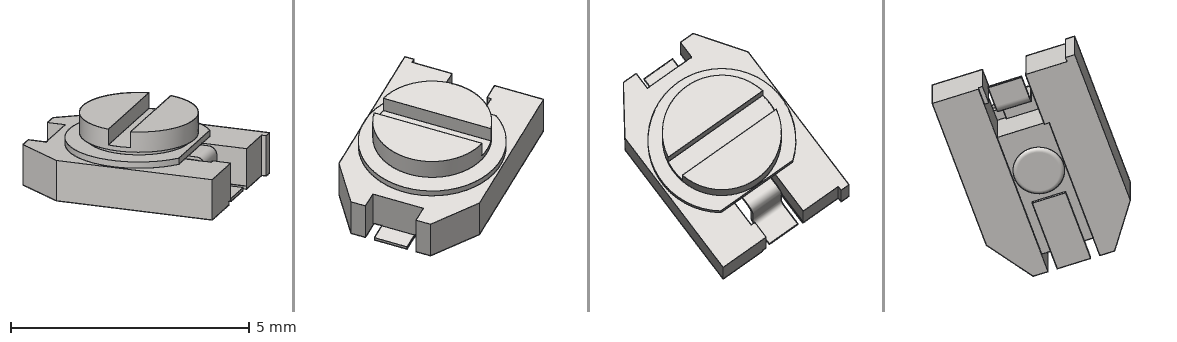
import cadquery as cq
import math


length = 4.6
width = 3.2
left_x = -2.265
tab_end_x = left_x + length
right_x = 2.235
housing_height = 0.9
corner_x = -1.255
left_end_half_width = 0.905
tab_width = 0.205
notch_end_x = -1.865
notch_half_width = 0.575
slot_start_x = 1.01
slot_half_width = 0.485
lip_x = 1.83
foot_ledge = 0.015

strip_thickness = 0.07
strip_width = 0.745
left_terminal_end_x = -0.645
right_terminal_end_x = 2.2
upper_bend_x = 1.425
riser_x = 1.61
lower_bend_x = 1.725

rivet_radius = 0.545
rivet_fillet = 0.09
washer_radius = 1.555
washer_flat_x = 1.24
washer_thickness = 0.14
neck_radius = 1.105
neck_height = 0.11
head_radius = 1.25
total_height = 1.6
driver_slot_width = 0.49
driver_slot_center_x = 0.02
driver_slot_depth = 0.35


def block(x_range, y_range, z_range):
    """Box between the given limits along each axis."""
    (x0, x1), (y0, y1), (z0, z1) = x_range, y_range, z_range
    return cq.Workplane("XY").box(x1 - x0, y1 - y0, z1 - z0, centered=False).translate((x0, y0, z0))


def disc(radius, height, bottom):
    """Cylinder on the rotor axis."""
    return cq.Workplane("XY").workplane(offset=bottom).circle(radius).extrude(height)


def make_rivet():
    rivet = disc(rivet_radius, housing_height, 0)
    return rivet.faces("<Z").edges().fillet(rivet_fillet)


def make_housing():
    half_width = width / 2
    outline = [
        (left_x, -left_end_half_width),
        (corner_x, -half_width),
        (right_x, -half_width),
        (right_x, half_width - tab_width),
        (tab_end_x, half_width - tab_width),
        (tab_end_x, half_width),
        (corner_x, half_width),
        (left_x, left_end_half_width),
    ]
    body = cq.Workplane("XY").polyline(outline).close().extrude(housing_height)

    full_height = (0, housing_height)
    above_channel = (strip_thickness, housing_height)
    below_ceiling = (0, strip_thickness)
    foot_y = slot_half_width - foot_ledge

    notch_y = (-notch_half_width, notch_half_width)
    body = body.cut(block((left_x, notch_end_x), notch_y, full_height))

    body = body.cut(block((slot_start_x, right_x), (-slot_half_width, slot_half_width), above_channel))
    body = body.cut(block((slot_start_x, lip_x), (-notch_half_width, 0), above_channel))

    body = body.cut(block((notch_end_x, slot_start_x), notch_y, below_ceiling))
    body = body.cut(block((slot_start_x, right_x), (-notch_half_width, foot_y), below_ceiling))

    return body.cut(disc(rivet_radius, housing_height, 0))


def make_left_terminal():
    half_width = strip_width / 2
    return block((left_x, left_terminal_end_x), (-half_width, half_width), (0, strip_thickness))


def make_right_terminal():
    """Strip that runs under the washer, bends down and then out along the bottom."""
    diagonal = math.sqrt(0.5)
    upper_outer = riser_x - upper_bend_x
    upper_inner = upper_outer - strip_thickness
    lower_inner = lower_bend_x - riser_x
    lower_outer = lower_inner + strip_thickness
    upper_z = housing_height - upper_outer
    lower_z = strip_thickness + lower_inner
    inner_x = riser_x - strip_thickness

    def upper_middle(radius):
        return (upper_bend_x + radius * diagonal, upper_z + radius * diagonal)

    def lower_middle(radius):
        return (lower_bend_x - radius * diagonal, lower_z - radius * diagonal)

    profile = (
        cq.Workplane("XZ")
        .moveTo(slot_start_x, housing_height)
        .lineTo(upper_bend_x, housing_height)
        .threePointArc(upper_middle(upper_outer), (riser_x, upper_z))
        .lineTo(riser_x, lower_z)
        .threePointArc(lower_middle(lower_inner), (lower_bend_x, strip_thickness))
        .lineTo(right_terminal_end_x, strip_thickness)
        .lineTo(right_terminal_end_x, 0)
        .lineTo(lower_bend_x, 0)
        .threePointArc(lower_middle(lower_outer), (inner_x, lower_z))
        .lineTo(inner_x, upper_z)
        .threePointArc(upper_middle(upper_inner), (upper_bend_x, housing_height - strip_thickness))
        .lineTo(slot_start_x, housing_height - strip_thickness)
        .close()
    )
    return profile.extrude(strip_width / 2, both=True)


def make_washer():
    washer = disc(washer_radius, washer_thickness, housing_height)
    washer_z = (housing_height, housing_height + washer_thickness)
    return washer.cut(block((washer_flat_x, washer_radius), (-washer_radius, washer_radius), washer_z))


def make_rotor():
    neck_bottom = housing_height + washer_thickness
    head_bottom = neck_bottom + neck_height
    neck = disc(neck_radius, neck_height, neck_bottom)
    head = disc(head_radius, total_height - head_bottom, head_bottom)
    slot_x0 = driver_slot_center_x - driver_slot_width / 2
    driver_slot = block(
        (slot_x0, slot_x0 + driver_slot_width),
        (-head_radius, head_radius),
        (total_height - driver_slot_depth, total_height),
    )
    return neck.union(head).cut(driver_slot)


housing = make_housing()
rivet = make_rivet()
left_terminal = make_left_terminal()
right_terminal = make_right_terminal()
washer = make_washer()
rotor = make_rotor()

result = cq.Compound.makeCompound([
    housing.val(),
    rivet.val(),
    left_terminal.val(),
    right_terminal.val(),
    washer.val(),
    rotor.val(),
])